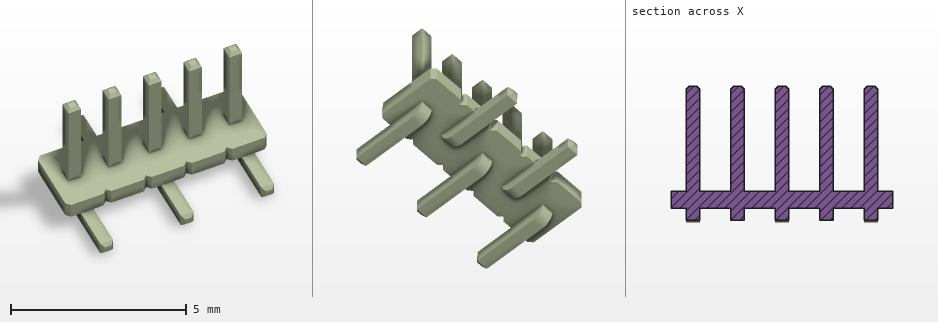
import cadquery as cq

pin_count = 5
pitch = 1.27
body_width = 2.1
body_height = 0.5
corner_cut = pitch / 10
pin_size = 0.4
tip_chamfer = 0.1
total_width = 4.9
total_height = 3.9

half_pin = pin_size / 2
foot_reach = total_width / 2
body_bottom = pin_size
bend_radius = pin_size
first_pin_y = -pitch * (pin_count - 1) / 2


def make_body_segment():
    """One pitch of the insulator, its four vertical edges cut at 45 degrees."""
    block = cq.Workplane("XY").box(body_width, pitch, body_height, centered=(True, True, False))
    return block.edges("|Z").chamfer(corner_cut).translate((0, 0, body_bottom))


def make_pin():
    """Square pin bent into an L with a rounded heel, its foot pointing to +X."""
    profile = (
        cq.Workplane("XZ")
        .moveTo(-half_pin, total_height)
        .lineTo(-half_pin, bend_radius)
        .radiusArc((bend_radius - half_pin, 0), -bend_radius)
        .lineTo(foot_reach, 0)
        .lineTo(foot_reach, pin_size)
        .lineTo(half_pin, pin_size)
        .lineTo(half_pin, total_height)
        .close()
    )
    bent_pin = profile.extrude(half_pin, both=True)
    return bent_pin.faces(">Z or >X").chamfer(tip_chamfer)


body_segment = make_body_segment()
right_pin = make_pin()
left_pin = right_pin.rotate((0, 0, 0), (0, 0, 1), 180)

result = cq.Workplane("XY")
for index in range(pin_count):
    position = (0, first_pin_y + index * pitch, 0)
    pin = right_pin if index % 2 == 0 else left_pin
    result = result.union(body_segment.translate(position)).union(pin.translate(position))
result = result.clean()